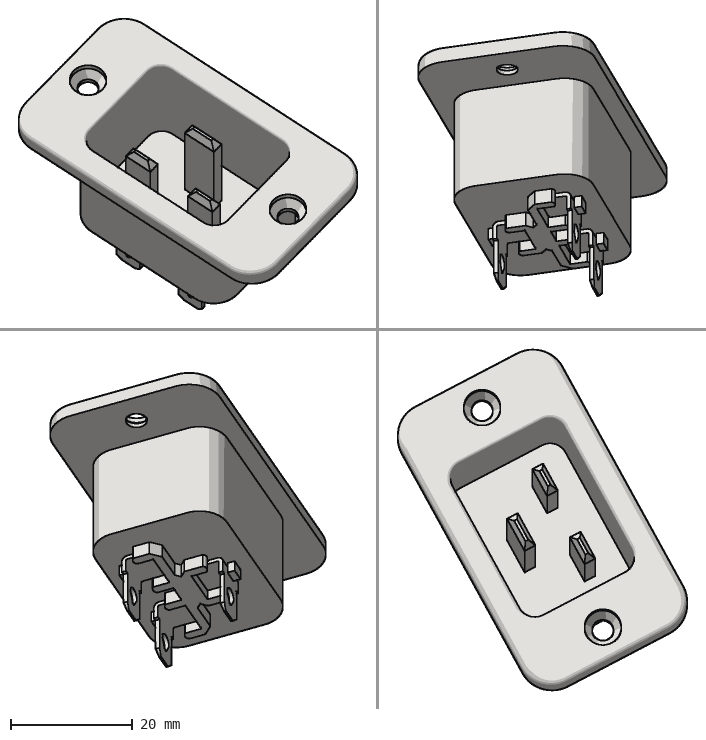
import cadquery as cq
import math


FLANGE_LENGTH = 53
FLANGE_WIDTH = 30.0
FLANGE_THICKNESS = 3.0
FLANGE_CORNER = 5.5
FLANGE_EDGE = 1.0

SCREW_X = 21.0
SCREW_HOLE = 3.5
SCREW_HEAD = 6.05
HEAD_RECESS = 0.95
COUNTERSINK_DEPTH = (SCREW_HEAD - SCREW_HOLE) / 2

BODY_LENGTH = 31.6
BODY_WIDTH = 23.65
BODY_CORNER = 5.0
BODY_BOTTOM = -21.0

CAVITY_LENGTH = 28.9
CAVITY_WIDTH = 21.0
CAVITY_CORNER = 2.85
CAVITY_MOUTH = 0.6
CAVITY_FLOOR = -18.45

PIN_Y = 4.0
LIVE_X = 6.5
PIN_THICKNESS = 2.0
EARTH_PIN_WIDTH = 6.15
LIVE_PIN_WIDTH = 5.15
EARTH_PIN_TOP = -1.2
LIVE_PIN_TOP = -4.3
PIN_TIP_HEIGHT = 1.4
PIN_TIP_SIDE = 1.1
PIN_TIP_FACE = 0.75

TERMINAL_LENGTH = 10.25
TERMINAL_THICKNESS = 0.75
TERMINAL_OUTER_Y = 7.65
STRAP_INNER_Y = 2.1
STRAP_WIDTH = 6.25
BEND_RADIUS = 1.0
SHOULDER_DEPTH = 3.2
BLADE_WIDTH = 4.95
BLADE_TIP = 1.0
BLADE_TIP_BEVEL = 0.2
EYE_DEPTH = 5.95
EYE_RADIUS = 1.25
EYE_TIP_RADIUS = 0.4
EYE_TIP_OFFSET = 1.6

GUARD_HEIGHT = 2.5
GUARD_WALL = 1.6
GUARD_OPENING = 6.5
GUARD_BULGE = 0.35
GUARD_END_Y = 5.2
LIVE_GUARD_BACK_Y = -0.3
LIVE_GUARD_CHAMFER = 1.6
EARTH_GUARD_BACK_Y = 0.5
EARTH_GUARD_CHAMFER = 1.0

STOP_WIDTH = 2.45
STOP_OUTER_Y = 8.9
STOP_HEIGHT = 2.0

CONTACTS = [
    (0, 1, EARTH_PIN_WIDTH, EARTH_PIN_TOP),
    (-LIVE_X, -1, LIVE_PIN_WIDTH, LIVE_PIN_TOP),
    (LIVE_X, -1, LIVE_PIN_WIDTH, LIVE_PIN_TOP),
]


def box(x, y, top, length, width, height):
    """Box centred on x, y that reaches down from top."""
    solid = cq.Workplane("XY").box(length, width, height, centered=(True, True, False))
    return solid.translate((x, y, top - height))


def rounded_block(length, width, corner, top, bottom):
    return box(0, 0, top, length, width, top - bottom).edges("|Z").fillet(corner)


def toward_side(shape, x, side):
    """Place a shape drawn at x = 0 for the +Y side at the given contact."""
    if side < 0:
        shape = shape.rotate((0, 0, 0), (0, 0, 1), 180)
    return shape.translate((x, 0, 0))


def screw_cutter():
    """Head recess, cone and through hole, as one revolved profile."""
    hole = SCREW_HOLE / 2
    head = SCREW_HEAD / 2
    cone_end = -HEAD_RECESS - COUNTERSINK_DEPTH
    profile = cq.Workplane("XZ").polyline([
        (0, 0), (head, 0), (head, -HEAD_RECESS),
        (hole, cone_end), (hole, -FLANGE_THICKNESS), (0, -FLANGE_THICKNESS),
    ]).close()
    return profile.revolve(360, (0, 0, 0), (0, 1, 0))


def guard(back_y, chamfer):
    """U-shaped wall open toward +Y, with bulged wall ends and chamfered back corners."""
    inner = GUARD_OPENING / 2
    outer = inner + GUARD_WALL
    end_y = GUARD_END_Y - GUARD_BULGE
    middle = inner + GUARD_WALL / 2
    outline = (
        cq.Workplane("XY", origin=(0, 0, BODY_BOTTOM))
        .moveTo(-outer + chamfer, back_y)
        .lineTo(outer - chamfer, back_y)
        .lineTo(outer, back_y + chamfer)
        .lineTo(outer, end_y)
        .threePointArc((middle, GUARD_END_Y), (inner, end_y))
        .lineTo(inner, back_y + GUARD_WALL)
        .lineTo(-inner, back_y + GUARD_WALL)
        .lineTo(-inner, end_y)
        .threePointArc((-middle, GUARD_END_Y), (-outer, end_y))
        .lineTo(-outer, back_y + chamfer)
        .close()
    )
    return outline.extrude(-GUARD_HEIGHT)


def guard_web():
    """Flared web that joins the earth guard to both live guards."""
    top_y = EARTH_GUARD_BACK_Y
    flare_y = LIVE_GUARD_BACK_Y
    bottom_y = flare_y - GUARD_WALL
    neck = GUARD_OPENING / 2 + GUARD_WALL - EARTH_GUARD_CHAMFER
    flare = neck + top_y - flare_y
    outline = cq.Workplane("XY", origin=(0, 0, BODY_BOTTOM)).polyline([
        (-neck, top_y), (neck, top_y), (flare, flare_y),
        (flare, bottom_y), (-flare, bottom_y), (-flare, flare_y),
    ]).close()
    return outline.extrude(-GUARD_HEIGHT)


def terminal_stop():
    width = STOP_OUTER_Y - TERMINAL_OUTER_Y
    return box(0, TERMINAL_OUTER_Y + width / 2, BODY_BOTTOM, STOP_WIDTH, width, STOP_HEIGHT)


def make_housing():
    flange = rounded_block(FLANGE_LENGTH, FLANGE_WIDTH, FLANGE_CORNER, 0, -FLANGE_THICKNESS)
    flange = flange.faces(">Z").edges().fillet(FLANGE_EDGE)
    body = rounded_block(BODY_LENGTH, BODY_WIDTH, BODY_CORNER, -FLANGE_THICKNESS, BODY_BOTTOM)
    cavity = rounded_block(CAVITY_LENGTH, CAVITY_WIDTH, CAVITY_CORNER, 0, CAVITY_FLOOR)
    housing = flange.union(body).cut(cavity)
    mouth = housing.faces(">Z").val().innerWires()[0]
    housing = housing.newObject(mouth.Edges()).fillet(CAVITY_MOUTH)

    for x in (-SCREW_X, SCREW_X):
        housing = housing.cut(screw_cutter().translate((x, 0, 0)))

    housing = housing.union(guard_web())
    for x, side, _, _ in CONTACTS:
        if side > 0:
            wall = guard(EARTH_GUARD_BACK_Y, EARTH_GUARD_CHAMFER)
        else:
            wall = guard(-LIVE_GUARD_BACK_Y, LIVE_GUARD_CHAMFER)
        housing = housing.union(toward_side(wall, x, side))
        housing = housing.union(toward_side(terminal_stop(), x, side))

    for x, side, pin_width, _ in CONTACTS:
        slot = box(x, side * PIN_Y, CAVITY_FLOOR, pin_width, PIN_THICKNESS, CAVITY_FLOOR - BODY_BOTTOM)
        housing = housing.cut(slot)
    return housing


def make_pin(x, side, width, top):
    """Flat pin through the cavity floor, with a bevelled lead-in tip."""
    shoulder = top - PIN_TIP_HEIGHT
    shank = box(0, 0, shoulder, width, PIN_THICKNESS, shoulder - BODY_BOTTOM)
    tip = (
        cq.Workplane("XY", origin=(0, 0, shoulder))
        .rect(width, PIN_THICKNESS)
        .workplane(offset=PIN_TIP_HEIGHT)
        .rect(width - 2 * PIN_TIP_SIDE, PIN_THICKNESS - 2 * PIN_TIP_FACE)
        .loft(ruled=True)
    )
    return shank.union(tip).translate((x, side * PIN_Y, 0))


def terminal_eye():
    """Teardrop cutter: a round eye narrowing downward to a small rounded tip."""
    slope = math.asin((EYE_RADIUS - EYE_TIP_RADIUS) / EYE_TIP_OFFSET)
    eye_z = BODY_BOTTOM - EYE_DEPTH
    tip_z = eye_z - EYE_TIP_OFFSET
    eye_side = EYE_RADIUS * math.cos(slope)
    eye_tangent_z = eye_z - EYE_RADIUS * math.sin(slope)
    tip_side = EYE_TIP_RADIUS * math.cos(slope)
    tip_tangent_z = tip_z - EYE_TIP_RADIUS * math.sin(slope)
    outline = (
        cq.Workplane("XZ")
        .moveTo(-eye_side, eye_tangent_z)
        .threePointArc((0, eye_z + EYE_RADIUS), (eye_side, eye_tangent_z))
        .lineTo(tip_side, tip_tangent_z)
        .threePointArc((0, tip_z - EYE_TIP_RADIUS), (-tip_side, tip_tangent_z))
        .close()
    )
    return outline.extrude(-2 * TERMINAL_OUTER_Y)


def make_terminal(x, side):
    """Strip under the floor, bent down into a shouldered blade with an eye and a bevelled end."""
    end_z = BODY_BOTTOM - TERMINAL_LENGTH
    tip_z = end_z + BLADE_TIP
    inner_y = TERMINAL_OUTER_Y - TERMINAL_THICKNESS
    strip_profile = cq.Workplane("YZ").polyline([
        (STRAP_INNER_Y, BODY_BOTTOM),
        (TERMINAL_OUTER_Y, BODY_BOTTOM),
        (TERMINAL_OUTER_Y, tip_z),
        (TERMINAL_OUTER_Y - BLADE_TIP_BEVEL, end_z),
        (inner_y + BLADE_TIP_BEVEL, end_z),
        (inner_y, tip_z),
        (inner_y, BODY_BOTTOM - TERMINAL_THICKNESS),
        (STRAP_INNER_Y, BODY_BOTTOM - TERMINAL_THICKNESS),
    ]).close()
    strip = strip_profile.extrude(STRAP_WIDTH / 2, both=True)
    strip = strip.edges("|X and >Y and >Z").fillet(BEND_RADIUS)
    inner_bend = cq.selectors.NearestToPointSelector((0, inner_y, BODY_BOTTOM - TERMINAL_THICKNESS))
    strip = strip.edges("|X").edges(inner_bend).fillet(BEND_RADIUS - TERMINAL_THICKNESS)

    strap_half = STRAP_WIDTH / 2
    blade_half = BLADE_WIDTH / 2
    tip_half = blade_half - BLADE_TIP
    shoulder_z = BODY_BOTTOM - SHOULDER_DEPTH
    face_outline = cq.Workplane("XZ").polyline([
        (-strap_half, BODY_BOTTOM), (strap_half, BODY_BOTTOM), (strap_half, shoulder_z),
        (blade_half, shoulder_z), (blade_half, tip_z), (tip_half, end_z),
        (-tip_half, end_z), (-blade_half, tip_z), (-blade_half, shoulder_z), (-strap_half, shoulder_z),
    ]).close().extrude(-2 * TERMINAL_OUTER_Y)
    return toward_side(strip.intersect(face_outline).cut(terminal_eye()), x, side)


housing = make_housing()
pins = [make_pin(*contact) for contact in CONTACTS]
terminals = [make_terminal(x, side) for x, side, _, _ in CONTACTS]

result = cq.Compound.makeCompound(
    [housing.val()]
    + [pin.val() for pin in pins]
    + [terminal.val() for terminal in terminals]
)